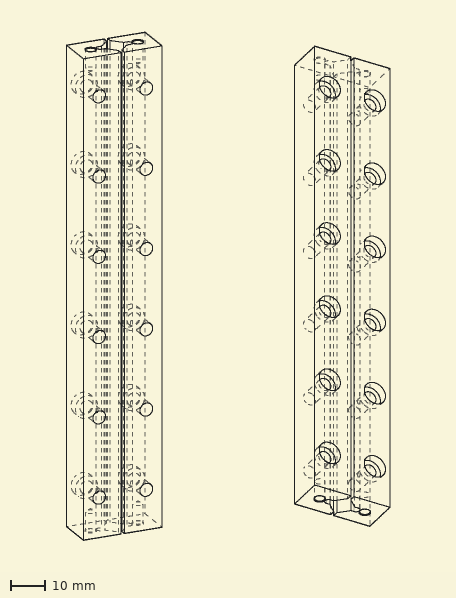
import cadquery as cq
import math

LENGTH = 150.0
WIDTH = 12.0
PAIR_DEPTH = 25.0
GAP = 1.0
RAIL_DEPTH = (PAIR_DEPTH - GAP) / 2

TRACK_MOUTH_WIDTH = 8.2
RELIEF_WIDTH = 2.2
RELIEF_BOTTOM = 5.7

HOLE_COUNT = 6
HOLE_PITCH = LENGTH / HOLE_COUNT
HOLE_DIAMETER = 4.0
COUNTERBORE_DIAMETER = 7.0
COUNTERBORE_DEPTH = 3.0
HOLE_LINE = 7.5

END_HOLE_DIAMETER = 3.0
END_HOLE_DEPTH = 6.0
COUNTERSINK_DIAMETER = 3.5
DRILL_TIP_ANGLE = 118.0


def rail_profile():
    """Cross-section of the +Y rail, extruded along Z."""
    face = GAP / 2
    back = face + RAIL_DEPTH
    half_width = WIDTH / 2
    half_mouth = TRACK_MOUTH_WIDTH / 2
    half_relief = RELIEF_WIDTH / 2
    root = face + half_mouth - half_relief
    return (
        cq.Workplane("XY")
        .moveTo(-half_width, face)
        .lineTo(-half_mouth, face)
        .lineTo(-half_relief, root)
        .lineTo(-half_relief, RELIEF_BOTTOM - half_relief)
        .threePointArc((0, RELIEF_BOTTOM), (half_relief, RELIEF_BOTTOM - half_relief))
        .lineTo(half_relief, root)
        .lineTo(half_mouth, face)
        .lineTo(half_width, face)
        .lineTo(half_width, back)
        .lineTo(-half_width, back)
        .close()
        .extrude(LENGTH)
    )


def fixing_hole(height):
    """Counterbored hole along X at the given height."""
    entry = cq.Vector(-WIDTH / 2, HOLE_LINE, height)
    along_x = cq.Vector(1, 0, 0)
    through = cq.Solid.makeCylinder(HOLE_DIAMETER / 2, WIDTH, entry, along_x)
    counterbore = cq.Solid.makeCylinder(COUNTERBORE_DIAMETER / 2, COUNTERBORE_DEPTH, entry, along_x)
    return through.fuse(counterbore)


def end_hole():
    """Countersunk blind hole with a conical tip, drilled down from the top end."""
    radius = END_HOLE_DIAMETER / 2
    mouth_radius = COUNTERSINK_DIAMETER / 2
    countersink_depth = mouth_radius - radius
    tip_length = radius / math.tan(math.radians(DRILL_TIP_ANGLE / 2))
    bottom = LENGTH - END_HOLE_DEPTH
    return (
        cq.Workplane("XZ", origin=(0, HOLE_LINE, 0))
        .moveTo(0, LENGTH)
        .lineTo(mouth_radius, LENGTH)
        .lineTo(radius, LENGTH - countersink_depth)
        .lineTo(radius, bottom)
        .lineTo(0, bottom - tip_length)
        .close()
        .revolve(360, (0, 0), (0, 1))
    )


def make_rail():
    """The +Y rail, with its track facing -Y."""
    rail = rail_profile()
    for index in range(HOLE_COUNT):
        rail = rail.cut(cq.Workplane(fixing_hole((index + 0.5) * HOLE_PITCH)))
    top_hole = end_hole()
    bottom_hole = top_hole.mirror("XY", (0, 0, LENGTH / 2))
    return rail.cut(top_hole).cut(bottom_hole)


back_rail = make_rail()
front_rail = back_rail.mirror("XZ")

result = cq.Compound.makeCompound([back_rail.val(), front_rail.val()])